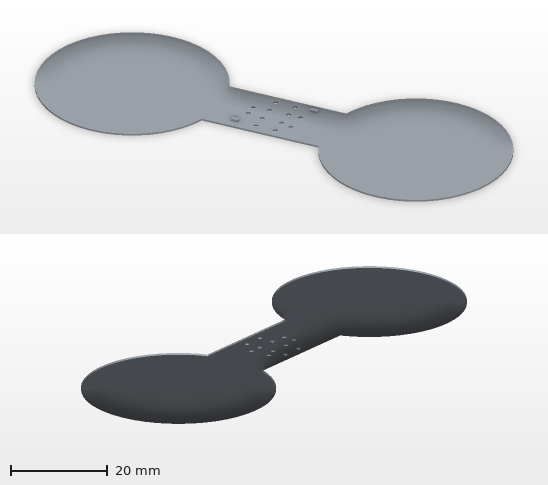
import cadquery as cq

BOARD_LENGTH = 104.3
DISC_DIAMETER = 40.3
NECK_WIDTH = 14.1
BOARD_THICKNESS = 0.4
DISC_OFFSET = (BOARD_LENGTH - DISC_DIAMETER) / 2

HOLE_DIAMETER = 1.0
LEFT_COLUMN_X = -1.9
RIGHT_COLUMN_X = 2.5
LEFT_COLUMN_SHIFT = 0.06
OUTER_ROW_Y = 5.0
INNER_ROW_Y = 1.8
PAIR_X = -5.3
PAIR_CENTRE_Y = 0.15
PAIR_PITCH = 2.5
SINGLE_HOLES = [(5.2, 1.8), (4.9, -2.5)]

OVERALL_HEIGHT = 0.91
CHIP_LENGTH = 1.7
CHIP_WIDTH = 0.8
CHIP_HEIGHT = OVERALL_HEIGHT - BOARD_THICKNESS
CHIP_POSITIONS = [(-6.6, -4.9), (6.9, 5.0)]


def hole_positions():
    """Two columns of four holes, a pair to their left and two single holes to their right."""
    rows = (OUTER_ROW_Y, INNER_ROW_Y, -INNER_ROW_Y, -OUTER_ROW_Y)
    left_column = [(LEFT_COLUMN_X, y + LEFT_COLUMN_SHIFT) for y in rows]
    right_column = [(RIGHT_COLUMN_X, y) for y in rows]
    pair = [(PAIR_X, PAIR_CENTRE_Y + side * PAIR_PITCH / 2) for side in (1, -1)]
    return left_column + right_column + pair + SINGLE_HOLES


def make_board():
    """Two round discs joined by a straight neck, bottom face at Z = 0."""
    discs = (
        cq.Workplane("XY")
        .pushPoints([(-DISC_OFFSET, 0), (DISC_OFFSET, 0)])
        .circle(DISC_DIAMETER / 2)
        .extrude(BOARD_THICKNESS)
    )
    neck = cq.Workplane("XY").rect(2 * DISC_OFFSET, NECK_WIDTH).extrude(BOARD_THICKNESS)
    holes = (
        cq.Workplane("XY")
        .pushPoints(hole_positions())
        .circle(HOLE_DIAMETER / 2)
        .extrude(BOARD_THICKNESS)
    )
    return discs.union(neck).cut(holes)


def make_chip(x, y):
    """A plain rectangular component resting on the board's top face."""
    return (
        cq.Workplane("XY", origin=(x, y, BOARD_THICKNESS))
        .rect(CHIP_LENGTH, CHIP_WIDTH)
        .extrude(CHIP_HEIGHT)
    )


board = make_board()
chips = [make_chip(x, y) for x, y in CHIP_POSITIONS]

result = cq.Compound.makeCompound([board.val(), *[chip.val() for chip in chips]])